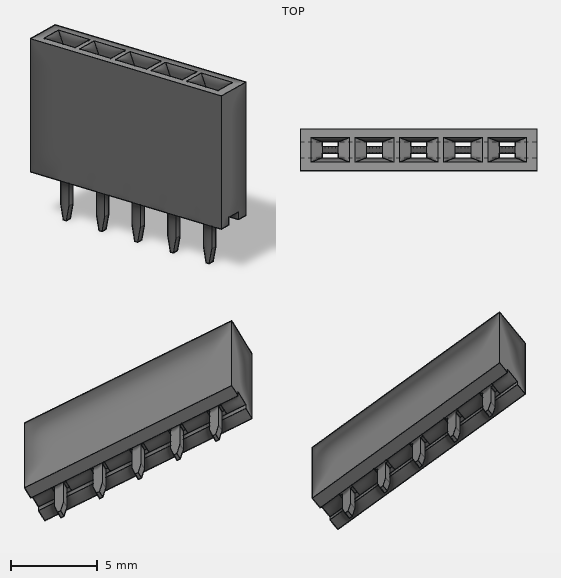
import cadquery as cq

contact_count = 5
pitch = 2.55
first_contact_x = -pitch * (contact_count - 1) / 2
contact_positions = [first_contact_x + i * pitch for i in range(contact_count)]

housing_length = 13.61
housing_depth = 2.42
housing_height = 8.41

groove_width = 0.93
groove_height = 0.49

mouth_length = 2.23
mouth_width = 1.42
mouth_depth = 1.01
bore_size = 0.91

pin_thickness = 0.41
tail_width = 0.6
tip_width = 0.22
tail_length = 2.97
tip_length = 1.0

mouth_floor_z = housing_height - mouth_depth
tip_end_z = -tail_length
tip_start_z = tip_end_z + tip_length
blade_top_z = mouth_floor_z / 2


def make_socket(x):
    """Cavity of one socket: square bore up to the floor of the mouth, then the flared mouth."""
    bore = (
        cq.Workplane("XY", origin=(x, 0, 0))
        .rect(bore_size, bore_size)
        .extrude(mouth_floor_z)
    )
    mouth = (
        cq.Workplane("XY", origin=(x, 0, mouth_floor_z))
        .rect(bore_size, bore_size)
        .workplane(offset=mouth_depth)
        .rect(mouth_length, mouth_width)
        .loft(ruled=True)
    )
    return bore.union(mouth)


def make_housing():
    """Rectangular block with a full-length bottom groove and one socket per contact."""
    block = cq.Workplane("XY").box(
        housing_length, housing_depth, housing_height, centered=(True, True, False)
    )
    groove = cq.Workplane("XY").box(
        housing_length, groove_width, groove_height, centered=(True, True, False)
    )
    body = block.cut(groove)
    for x in contact_positions:
        body = body.cut(make_socket(x))
    return body


def make_pin(x):
    """Flat contact: half of its outline is drawn on the +X side, then mirrored."""
    return (
        cq.Workplane("XZ", origin=(x, 0, 0))
        .moveTo(0, tip_end_z)
        .lineTo(tip_width / 2, tip_end_z)
        .lineTo(tail_width / 2, tip_start_z)
        .lineTo(tail_width / 2, groove_height)
        .lineTo(bore_size / 2, groove_height)
        .lineTo(bore_size / 2, blade_top_z)
        .lineTo(0, blade_top_z)
        .mirrorY()
        .extrude(pin_thickness / 2, both=True)
    )


housing = make_housing()
pins = [make_pin(x) for x in contact_positions]

result = cq.Compound.makeCompound([housing.val(), *[pin.val() for pin in pins]])